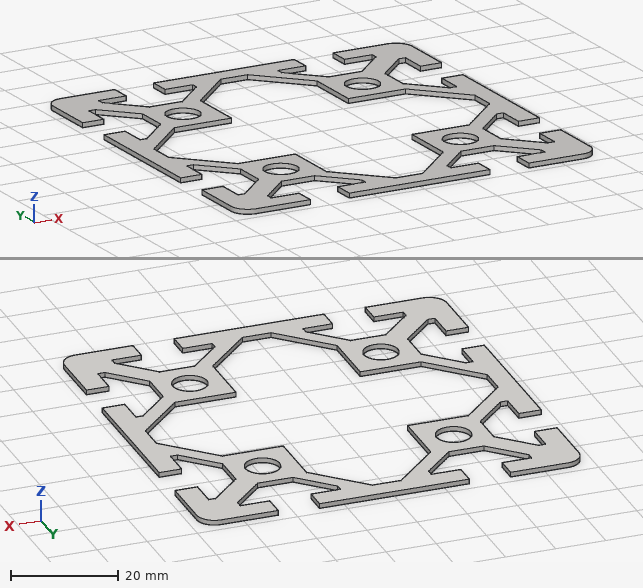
import cadquery as cq

side = 76.2
thickness = 1.0
corner_radius = 3.5

core_offset = side / 4
core_size = 13.3
hole_diameter = 6.8

mouth_width = 8.2
lip_thickness = 4.5
pocket_width = 20.0
floor_width = 7.0

cavity_wall = 4.05
cavity_end_width = 5.7

half_side = side / 2
slot_floor = half_side - core_offset + core_size / 2
pocket_shoulder = slot_floor + (pocket_width - floor_width) / 2
slot_top = half_side - lip_thickness


def turned_copies(solid):
    """Return the solid at each of the four quarter turns about Z."""
    return [solid.rotate((0, 0, 0), (0, 0, 1), 90 * turn) for turn in range(4)]


def slot_cutter(center_x):
    """T-slot opening on the +Y side, symmetric about x = center_x."""
    half_outline = [
        (0, slot_floor),
        (floor_width / 2, slot_floor),
        (pocket_width / 2, pocket_shoulder),
        (pocket_width / 2, slot_top),
        (mouth_width / 2, slot_top),
        (mouth_width / 2, half_side),
    ]
    right = [(center_x + x, y) for x, y in half_outline]
    left = [(center_x - x, y) for x, y in reversed(half_outline[1:])]
    return cq.Workplane("XY").polyline(right + left).close().extrude(thickness)


def cavity_arm():
    """One arm of the central cavity, reaching from the middle toward +Y."""
    arm_half_width = half_side - core_offset - core_size / 2
    end_y = half_side - cavity_wall
    end_half_width = cavity_end_width / 2
    shoulder_y = end_y - (arm_half_width - end_half_width)
    outline = [
        (-arm_half_width, -arm_half_width),
        (arm_half_width, -arm_half_width),
        (arm_half_width, shoulder_y),
        (end_half_width, end_y),
        (-end_half_width, end_y),
        (-arm_half_width, shoulder_y),
    ]
    return cq.Workplane("XY").polyline(outline).close().extrude(thickness)


result = cq.Workplane("XY").rect(side, side).extrude(thickness).edges("|Z").fillet(corner_radius)

result = (
    result.faces(">Z").workplane()
    .rarray(2 * core_offset, 2 * core_offset, 2, 2)
    .hole(hole_diameter)
)

for arm in turned_copies(cavity_arm()):
    result = result.cut(arm)

for center_x in (-core_offset, core_offset):
    for slot in turned_copies(slot_cutter(center_x)):
        result = result.cut(slot)